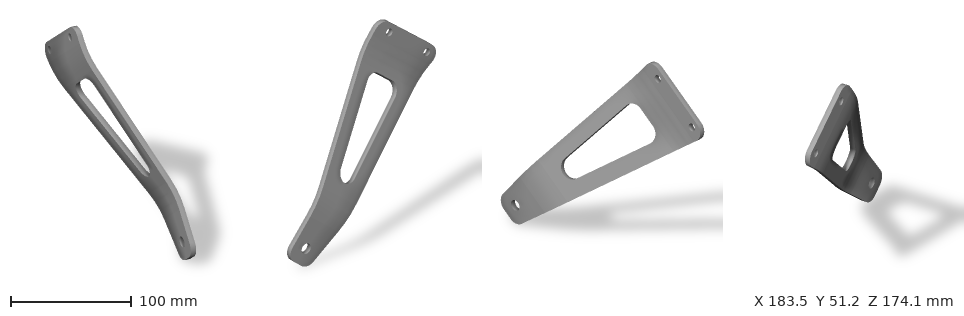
import cadquery as cq
import math

LEAN_ANGLE = 38.9
FLANGE_ANGLE = 1.0
WEB_ANGLE = 19.1
THICKNESS = 5.0
BEND_RADIUS = 79.9

WIDE_END_U = -103.5
NARROW_END_U = 106.7
STRAIGHT_EDGE_V = 155.5
TAPER_EDGE_V = 101.7
TAPER_SLOPE = 0.247
CORNER_RADIUS = 10.0

FIRST_BEND_U = -87.5
WEB_LENGTH = 111.5

WINDOW_START = 2.4
WINDOW_END = 99.5
WINDOW_STRAIGHT_V = 141.5
WINDOW_TAPER_V = 100.8
WINDOW_RADIUS = 9.7

SMALL_HOLE_DIAMETER = 7.0
SMALL_HOLE_U = -96.0
SMALL_HOLE_VS = (90.2, 140.0)
LARGE_HOLE_DIAMETER = 9.5
LARGE_HOLE_U = 92.2
LARGE_HOLE_V = 141.0

CUT_DEPTH = 183.6

lean = math.radians(LEAN_ANGLE)
U_AXIS = (math.sin(lean), 0, -math.cos(lean))
V_AXIS = (math.cos(lean), 0, math.sin(lean))
SIDE_PLANE = cq.Plane(origin=(0, 0, 0), xDir=U_AXIS, normal=V_AXIS)
FACE_PLANE = cq.Plane(origin=(0, 0, 0), xDir=U_AXIS, normal=(0, -1, 0))


def step(point, angle, along, across=0.0):
    """Move in the u-Y plane along a slope and square to it."""
    a = math.radians(angle)
    return (
        point[0] + along * math.cos(a) - across * math.sin(a),
        point[1] + along * math.sin(a) + across * math.cos(a),
    )


MIDDLE_ANGLE = (FLANGE_ANGLE + WEB_ANGLE) / 2
first_center = step((FIRST_BEND_U, 0), FLANGE_ANGLE, 0, BEND_RADIUS)
web_start = step(first_center, WEB_ANGLE, 0, -BEND_RADIUS)
web_end = step(web_start, WEB_ANGLE, WEB_LENGTH)
second_center = step(web_end, WEB_ANGLE, 0, -BEND_RADIUS)


def face_points(depth):
    """Points of the bent line lying a given depth behind the -Y face."""
    first_radius = depth - BEND_RADIUS
    second_radius = depth + BEND_RADIUS
    flange_length = NARROW_END_U - WIDE_END_U
    first = [step(first_center, a, 0, first_radius) for a in (FLANGE_ANGLE, MIDDLE_ANGLE, WEB_ANGLE)]
    second = [step(second_center, a, 0, second_radius) for a in (WEB_ANGLE, MIDDLE_ANGLE, FLANGE_ANGLE)]
    start = step(first[0], FLANGE_ANGLE, -flange_length)
    end = step(second[-1], FLANGE_ANGLE, flange_length)
    return [start] + first + second + [end]


def bent_strip():
    front = face_points(0)
    back = face_points(THICKNESS)[::-1]
    profile = cq.Workplane(SIDE_PLANE).moveTo(*front[0])
    for face in (front, back):
        profile = (
            profile.lineTo(*face[1])
            .threePointArc(face[2], face[3])
            .lineTo(*face[4])
            .threePointArc(face[5], face[6])
            .lineTo(*face[7])
        )
        if face is front:
            profile = profile.lineTo(*back[0])
    return profile.close().extrude(STRAIGHT_EDGE_V)


def tapered_prism(plane, start, end, straight_v, taper_v, slope, radius):
    """Prism with one straight side, one tapered side and rounded corners."""
    return (
        cq.Workplane(plane)
        .moveTo(start, taper_v + slope * start)
        .lineTo(end, taper_v + slope * end)
        .lineTo(end, straight_v)
        .lineTo(start, straight_v)
        .close()
        .extrude(CUT_DEPTH, both=True)
        .edges(cq.selectors.ParallelDirSelector(plane.zDir))
        .fillet(radius)
    )


def outline():
    return tapered_prism(
        FACE_PLANE, WIDE_END_U, NARROW_END_U, STRAIGHT_EDGE_V, TAPER_EDGE_V, TAPER_SLOPE, CORNER_RADIUS
    )


def window():
    """Opening cut square to the sloping web."""
    origin = SIDE_PLANE.toWorldCoords((*web_start, 0))
    along_web = SIDE_PLANE.toWorldCoords((*step((0, 0), WEB_ANGLE, 1.8), 0))
    plane = cq.Plane(origin=origin, xDir=along_web, normal=along_web.cross(cq.Vector(*V_AXIS)))
    slope = TAPER_SLOPE * math.cos(math.radians(WEB_ANGLE))
    return tapered_prism(
        plane, WINDOW_START, WINDOW_END, WINDOW_STRAIGHT_V, WINDOW_TAPER_V, slope, WINDOW_RADIUS
    )


def holes(diameter, centers):
    return (
        cq.Workplane(FACE_PLANE)
        .pushPoints(centers)
        .circle(diameter / 2)
        .extrude(CUT_DEPTH, both=True)
    )


result = (
    bent_strip()
    .intersect(outline())
    .cut(window())
    .cut(holes(SMALL_HOLE_DIAMETER, [(SMALL_HOLE_U, v) for v in SMALL_HOLE_VS]))
    .cut(holes(LARGE_HOLE_DIAMETER, [(LARGE_HOLE_U, LARGE_HOLE_V)]))
)